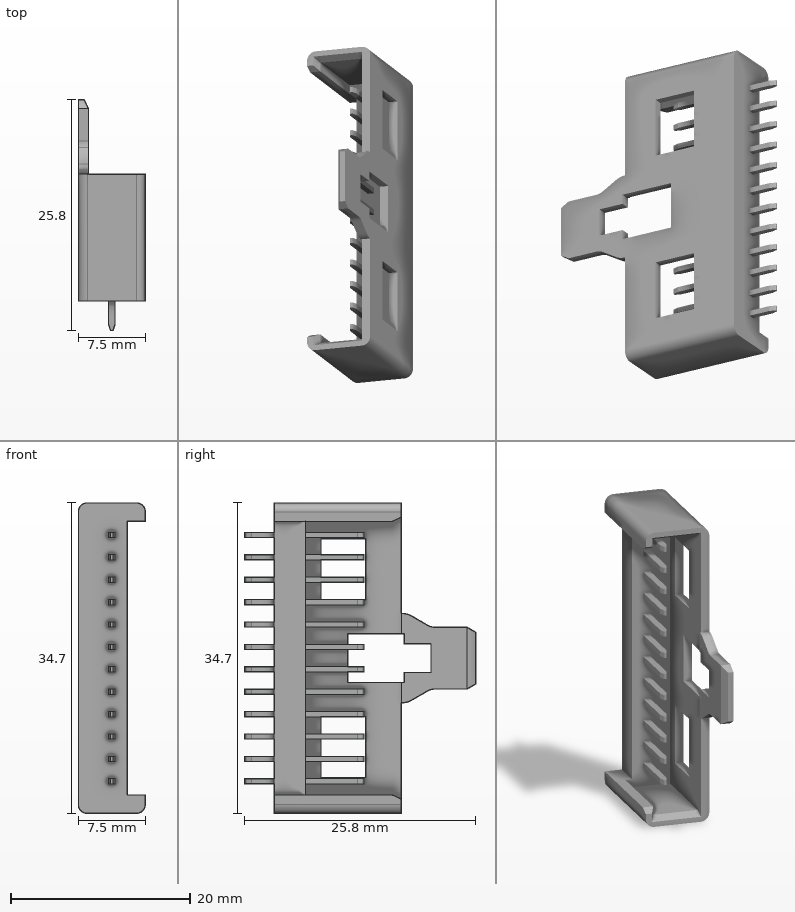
import cadquery as cq
import math

LENGTH = 34.7
DEPTH = 7.5
BODY_HEIGHT = 14.2
CORNER_RADIUS = 1.0
WALL = 1.0
END_WALL = 1.08
FLANGE = 1.2
FLOOR_THICKNESS = 3.47
FLOOR_REACH = 5.48
RIM = 2.08
MOUTH_FLARE = 0.5
MOUTH_FLARE_LENGTH = 1.0

WINDOW_HEIGHT = 4.95
WINDOW_WIDTH = 6.8
WINDOW_START = 5.25
WINDOW_OFFSET = 9.92

TAB_THICKNESS = 1.15
TAB_REACH = 8.33
TAB_HALF_WIDTH = 3.47
TAB_ROOT_HALF_WIDTH = 5.0
TAB_SLOPE = math.radians(30)
NECK_LENGTH = 5.03
INNER_BEND_RADIUS = 1.5
OUTER_BEND_RADIUS = 2.0
TIP_LENGTH = 1.0
TIP_THINNING = 0.5
OPENING_START = 8.22
OPENING_STEP = 14.5
OPENING_END = 17.5
OPENING_WIDTH = 5.4
OPENING_END_WIDTH = 3.2

PIN_COUNT = 12
PIN_SPAN = 27.5
PIN_WIDTH = 0.75
PIN_THICKNESS = 0.6
PIN_TAIL = 3.3
PIN_TOP = 10.03
TAPER_LENGTH = 0.73
TIP_BEVEL_LENGTH = 0.15
TAPER_END_WIDTH = 0.38
TIP_WIDTH = 0.25

TAB_END = BODY_HEIGHT + TAB_REACH


def block(x_range, y_range, z_range):
    """Box spanning the given (low, high) limits."""
    sizes = [high - low for low, high in (x_range, y_range, z_range)]
    corner = (x_range[0], y_range[0], z_range[0])
    return cq.Workplane("XY").box(*sizes, centered=False).translate(corner)


def centred(width, middle=0.0):
    """Limits of a width centred on a middle position."""
    return (middle - width / 2, middle + width / 2)


def make_mouth_flare(x_range, width):
    """Lead-in that widens a centred opening towards +X and both Z ends at the +Y face."""
    x_low, x_high = x_range
    mouth = [
        (x_low, -width / 2),
        (x_high, -width / 2),
        (x_high, width / 2),
        (x_low, width / 2),
    ]
    flared = [
        (x_low, -width / 2 - MOUTH_FLARE),
        (x_high + MOUTH_FLARE, -width / 2 - MOUTH_FLARE),
        (x_high + MOUTH_FLARE, width / 2 + MOUTH_FLARE),
        (x_low, width / 2 + MOUTH_FLARE),
    ]
    start = BODY_HEIGHT - MOUTH_FLARE_LENGTH
    wires = [
        cq.Wire.makePolygon([cq.Vector(x, y, z) for x, z in corners], close=True)
        for y, corners in ((start, mouth), (BODY_HEIGHT, flared))
    ]
    return cq.Workplane(obj=cq.Solid.makeLoft(wires, True))


def make_shell():
    """Rounded housing, hollowed from +Y, open along its +X side and flared at the +Y mouth."""
    cavity_x = (WALL, DEPTH - FLANGE)
    cavity_width = LENGTH - 2 * END_WALL
    opening_x = (FLOOR_REACH, DEPTH)
    opening_width = LENGTH - 2 * RIM
    shell = block((0, DEPTH), (0, BODY_HEIGHT), centred(LENGTH)).edges("|Y").fillet(CORNER_RADIUS)
    shell = shell.cut(block(cavity_x, (FLOOR_THICKNESS, BODY_HEIGHT), centred(cavity_width)))
    shell = shell.cut(block(opening_x, (0, BODY_HEIGHT), centred(opening_width)))
    shell = shell.cut(make_mouth_flare(cavity_x, cavity_width))
    return shell.cut(make_mouth_flare(opening_x, opening_width))


def make_tab():
    """Latch tab with a flared root and a tapered tip."""
    slope_end = TAB_END - NECK_LENGTH
    slope_start = slope_end - (TAB_ROOT_HALF_WIDTH - TAB_HALF_WIDTH) / math.tan(TAB_SLOPE)
    tip_start = TAB_END - TIP_LENGTH
    tip_half_width = TAB_HALF_WIDTH - TIP_LENGTH * math.tan(TAB_SLOPE)
    side = [
        (BODY_HEIGHT, TAB_ROOT_HALF_WIDTH),
        (slope_start, TAB_ROOT_HALF_WIDTH),
        (slope_end, TAB_HALF_WIDTH),
        (tip_start, TAB_HALF_WIDTH),
        (TAB_END, tip_half_width),
    ]
    outline = side + [(y, -z) for y, z in reversed(side)]
    tab = cq.Workplane("YZ").polyline(outline).close().extrude(TAB_THICKNESS)
    for y, half_width, radius in (
        (slope_start, TAB_ROOT_HALF_WIDTH, OUTER_BEND_RADIUS),
        (slope_end, TAB_HALF_WIDTH, INNER_BEND_RADIUS),
    ):
        for z in (-half_width, half_width):
            tab = tab.edges(cq.selectors.NearestToPointSelector((TAB_THICKNESS / 2, y, z))).fillet(radius)
    tip_wedge = (
        cq.Workplane("XY")
        .moveTo(TAB_THICKNESS, tip_start)
        .lineTo(TAB_THICKNESS, TAB_END)
        .lineTo(TAB_THICKNESS - TIP_THINNING, TAB_END)
        .close()
        .extrude(TAB_HALF_WIDTH, both=True)
    )
    return tab.cut(tip_wedge)


def make_wall_openings():
    """Two windows and the stepped opening that runs into the tab."""
    wall = (0, TAB_THICKNESS)
    openings = block(wall, (OPENING_START, OPENING_STEP), centred(OPENING_WIDTH))
    openings = openings.union(block(wall, (OPENING_STEP, OPENING_END), centred(OPENING_END_WIDTH)))
    for z in (-WINDOW_OFFSET, WINDOW_OFFSET):
        height = (WINDOW_START, WINDOW_START + WINDOW_HEIGHT)
        openings = openings.union(block(wall, height, centred(WINDOW_WIDTH, z)))
    return openings


def make_pin(z):
    """Flat pin through the floor, with a two-step taper at each end."""
    side = [
        (TIP_WIDTH / 2, -PIN_TAIL),
        (TAPER_END_WIDTH / 2, TIP_BEVEL_LENGTH - PIN_TAIL),
        (PIN_WIDTH / 2, TAPER_LENGTH - PIN_TAIL),
        (PIN_WIDTH / 2, PIN_TOP - TAPER_LENGTH),
        (TAPER_END_WIDTH / 2, PIN_TOP - TIP_BEVEL_LENGTH),
        (TIP_WIDTH / 2, PIN_TOP),
    ]
    outline = side + [(-x, y) for x, y in reversed(side)]
    pin = cq.Workplane("XY").polyline(outline).close().extrude(PIN_THICKNESS / 2, both=True)
    return pin.translate((DEPTH / 2, 0, z))


result = make_shell().union(make_tab()).cut(make_wall_openings())
for index in range(PIN_COUNT):
    result = result.union(make_pin(PIN_SPAN * (index / (PIN_COUNT - 1) - 0.5)))